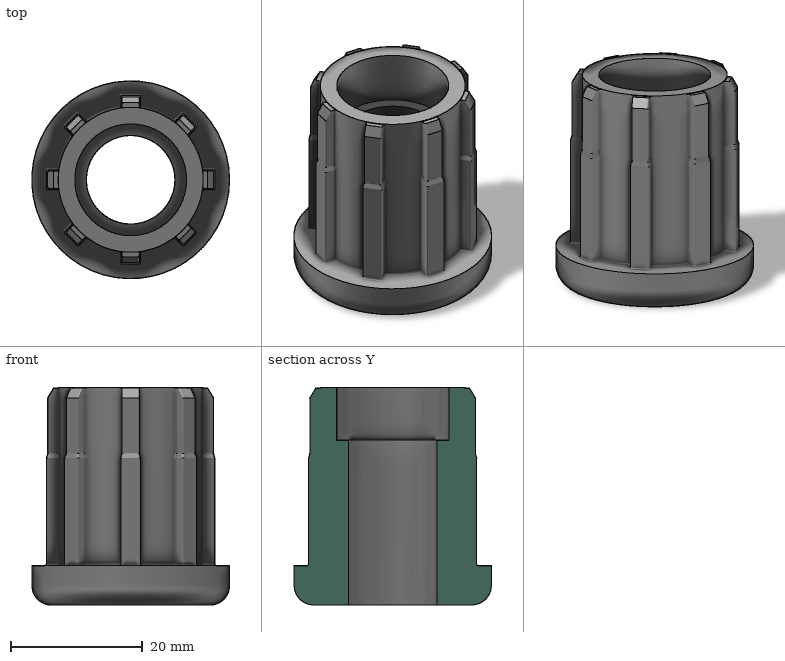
import cadquery as cq
import math

total_height = 33.0
flange_radius = 30.0 / 2
flange_height = 6.0
flange_rounding = 3.0

tube_radius = 11.0
bore_radius = 8.48
bore_depth = 8.0
hole_radius = 6.7

rib_count = 8
rib_outer_radius = 12.77
rib_width = 3.0
rib_step = 0.2
rib_taper_bottom = total_height - 10.72
rib_taper_top = total_height - 10.0
rib_top = total_height - 0.1
lead_in_height = 1.5
lead_in_depth = 0.9

rib_edge_rounding = 0.2
root_rounding = 0.25

tolerance = 0.003

rib_upper_radius = rib_outer_radius - rib_step
rib_upper_width = rib_width - 2 * rib_step
rib_inner_radius = (bore_radius + tube_radius) / 2


def make_flange():
    flange = cq.Workplane("XY").circle(flange_radius).extrude(flange_height)
    return flange.faces("<Z").edges().fillet(flange_rounding)


def make_rib_section(outer_radius, width, height):
    length = outer_radius - rib_inner_radius
    center = cq.Vector(rib_inner_radius + length / 2, 0, height)
    section = cq.Sketch().rect(length, width).vertices().fillet(rib_edge_rounding)
    return section.moved(cq.Location(center))


def make_rib():
    sections = [
        make_rib_section(rib_outer_radius, rib_width, flange_height),
        make_rib_section(rib_outer_radius, rib_width, rib_taper_bottom),
        make_rib_section(rib_upper_radius, rib_upper_width, rib_taper_top),
        make_rib_section(rib_upper_radius, rib_upper_width, rib_top - lead_in_height),
        make_rib_section(rib_upper_radius - lead_in_depth, rib_upper_width, rib_top),
    ]
    return cq.Workplane("XY").placeSketch(*sections).loft(ruled=True)


def make_ribbed_body():
    tube = cq.Workplane("XY").circle(tube_radius).extrude(total_height)
    body = make_flange().union(tube)
    rib = make_rib()
    for index in range(rib_count):
        body = body.union(rib.rotate((0, 0, 0), (0, 0, 1), index * 360 / rib_count))
    return body


def is_foot(edge):
    box = edge.BoundingBox()
    start = edge.startPoint()
    on_flange_top = all(abs(z - flange_height) < tolerance for z in (box.zmin, box.zmax))
    return on_flange_top and math.hypot(start.x, start.y) < flange_radius - tolerance


def is_rib_root(edge):
    start = edge.startPoint()
    end = edge.endPoint()
    on_tube = all(abs(math.hypot(point.x, point.y) - tube_radius) < tolerance for point in (start, end))
    climbs = abs(end.z - start.z) > tolerance
    return on_tube and climbs and max(start.z, end.z) < rib_top + tolerance


def round_roots(body):
    return body.edges().filter(lambda edge: is_foot(edge) or is_rib_root(edge)).fillet(root_rounding)


def cut_stepped_bore(body):
    hole = cq.Workplane("XY").circle(hole_radius).extrude(total_height)
    bore_floor = cq.Workplane("XY").workplane(offset=total_height - bore_depth)
    bore = bore_floor.circle(bore_radius).extrude(bore_depth)
    return body.cut(hole).cut(bore)


result = cut_stepped_bore(round_roots(make_ribbed_body()))